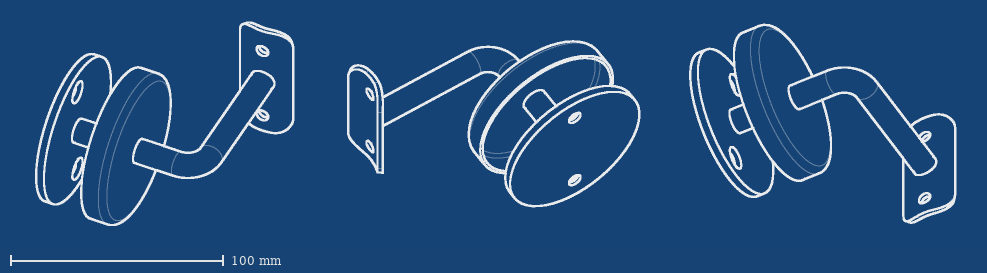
import cadquery as cq
import math

rod_radius = 6.0
bend_radius = 12.0
saddle_x = 67.9
disc_radius = 36.5
disc_thickness = 4.1
disc_hole_diameter = 6.5
disc_hole_spacing = 50.0
countersink_diameter = 11.0
countersink_angle = 90
cover_radius = 37.49
cover_start = 24.0
cover_length = 12.0
cover_wall = 1.5
cover_edge_radius = 3.0
saddle_inner_radius = 20.5
saddle_thickness = 2.5
saddle_width = 28.0
saddle_height = 65.0
saddle_corner_radius = 10.0
saddle_hole_diameter = 6.0
saddle_hole_spacing = 42.0
saddle_hole_drop = 1.6
overall_depth = 112.1

saddle_outer_radius = saddle_inner_radius + saddle_thickness
saddle_half_angle = math.asin(saddle_width / 2 / saddle_outer_radius)
saddle_tip_y = overall_depth - cover_radius
saddle_axis_y = saddle_tip_y + saddle_inner_radius * math.cos(saddle_half_angle)
rod_end_y = saddle_axis_y - saddle_inner_radius - saddle_thickness / 2


def make_disc():
    return (
        cq.Workplane("YZ")
        .circle(disc_radius)
        .extrude(disc_thickness)
        .faces(">X")
        .workplane()
        .pushPoints([(0, side * disc_hole_spacing / 2) for side in (-1, 1)])
        .cskHole(disc_hole_diameter, countersink_diameter, countersink_angle)
    )


def make_rod():
    bend_start_x = saddle_x - bend_radius
    bend_middle = bend_radius * math.sqrt(0.5)
    path = (
        cq.Workplane("XY")
        .moveTo(disc_thickness / 2, 0)
        .lineTo(bend_start_x, 0)
        .threePointArc((bend_start_x + bend_middle, bend_radius - bend_middle), (saddle_x, bend_radius))
        .lineTo(saddle_x, rod_end_y)
    )
    return cq.Workplane("YZ", origin=(disc_thickness / 2, 0, 0)).circle(rod_radius).sweep(path)


def saddle_point(radius, angle):
    """Point at an angle from the saddle's lowest line, measured about its axis."""
    return (saddle_x + radius * math.sin(angle), saddle_axis_y - radius * math.cos(angle))


def make_saddle():
    plate = (
        cq.Workplane("XY")
        .moveTo(*saddle_point(saddle_outer_radius, -saddle_half_angle))
        .threePointArc(
            saddle_point(saddle_outer_radius, 0), saddle_point(saddle_outer_radius, saddle_half_angle)
        )
        .lineTo(*saddle_point(saddle_inner_radius, saddle_half_angle))
        .threePointArc(
            saddle_point(saddle_inner_radius, 0), saddle_point(saddle_inner_radius, -saddle_half_angle)
        )
        .close()
        .extrude(saddle_height / 2, both=True)
    )
    plate = plate.edges("%LINE").edges("not |Z").fillet(saddle_corner_radius)
    screw_holes = (
        cq.Workplane("XZ", origin=(saddle_x, saddle_axis_y, 0))
        .pushPoints([(0, side * saddle_hole_spacing / 2 - saddle_hole_drop) for side in (-1, 1)])
        .circle(saddle_hole_diameter / 2)
        .extrude(saddle_outer_radius + saddle_thickness)
    )
    return plate.cut(screw_holes)


def make_bracket():
    return make_disc().union(make_rod()).union(make_saddle())


def make_cover():
    cup = (
        cq.Workplane("YZ", origin=(cover_start, 0, 0))
        .circle(cover_radius)
        .extrude(cover_length)
        .faces(">X")
        .edges()
        .fillet(cover_edge_radius)
        .faces("<X")
        .shell(-cover_wall)
    )
    rod_hole = cq.Workplane("YZ", origin=(cover_start, 0, 0)).circle(rod_radius).extrude(cover_length)
    return cup.cut(rod_hole)


bracket = make_bracket()
cover = make_cover()
result = cq.Compound.makeCompound([bracket.solids().val(), cover.solids().val()])